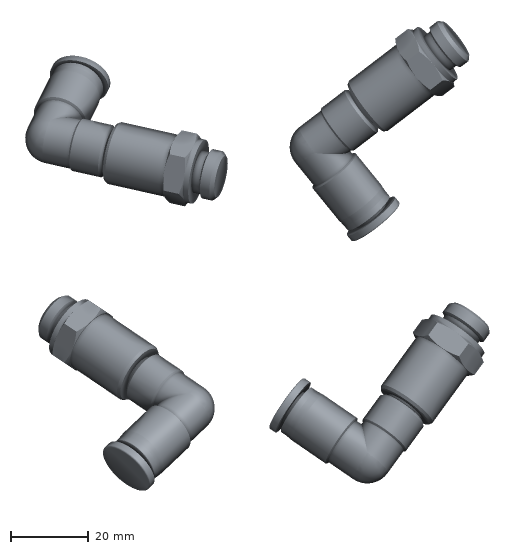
import cadquery as cq
import math


plate_length = 16.0
plate_width = 13.8
plate_thickness = 2.1
plate_rounding = 0.4
sleeve_neck_diameter = 9.7
sleeve_neck_length = 1.0

hex_across_flats = 17.0
hex_across_corners = hex_across_flats / math.cos(math.pi / 6)
hex_start = 33.6
hex_end = 39.2
hex_left_chamfer = 0.75
hex_right_chamfer = 0.7

total_x = 54.75
total_y = 35.55
stud_end = total_x - plate_length / 2
sleeve_end = total_y - hex_across_corners / 2

ring_diameter = 14.0
ring_length = 1.75
ring_chamfer = 0.1
plate_start = sleeve_end - plate_thickness
ring_end = plate_start - sleeve_neck_length
ring_start = ring_end - ring_length

arm_diameter = 13.0
socket_diameter = 14.4
socket_start = 7.85
socket_lead_in = 0.4
socket_taper_start = 18.95
swivel_collar_diameter = 13.9
swivel_collar_start = 7.15
swivel_collar_lead_in = 0.5
swivel_collar_end = 16.2
swivel_collar_chamfer = 0.75

swivel_neck_diameter = 8.2
swivel_disc_diameter = 10.6
swivel_disc_start = 16.5
barrel_diameter = 16.5
barrel_start = 17.0
barrel_chamfer_length = 0.75
barrel_chamfer_depth = 0.5
flange_diameter = hex_across_flats
flange_end = 40.6
groove_diameter = 11.2
groove_end = 42.65
groove_flank_length = 0.55
thread_diameter = 13.15
thread_chamfer = 1.0


def revolve_along_x(stations):
    """Solid of revolution about X through the given (x, radius) stations."""
    points = [(stations[0][0], 0), *stations, (stations[-1][0], 0)]
    return cq.Workplane("XY").polyline(points).close().revolve(360, (0, 0), (1, 0))


def revolve_along_y(stations):
    """Solid of revolution about Y through the given (y, radius) stations."""
    points = [(0, stations[0][0]), *[(r, y) for y, r in stations], (0, stations[-1][0])]
    return cq.Workplane("XY").polyline(points).close().revolve(360, (0, 0), (0, 1))


def make_elbow_housing():
    """Two round arms joined by a spherical corner."""
    arm_radius = arm_diameter / 2
    collar_radius = swivel_collar_diameter / 2
    socket_radius = socket_diameter / 2
    swivel_arm = revolve_along_x([
        (0, arm_radius),
        (swivel_collar_start, arm_radius),
        (swivel_collar_start + swivel_collar_lead_in, collar_radius),
        (swivel_collar_end - swivel_collar_chamfer, collar_radius),
        (swivel_collar_end, collar_radius - swivel_collar_chamfer),
    ])
    socket_arm = revolve_along_y([
        (0, arm_radius),
        (socket_start, arm_radius),
        (socket_start + socket_lead_in, socket_radius),
        (socket_taper_start, socket_radius),
        (ring_start, ring_diameter / 2),
    ])
    corner = cq.Workplane("XY").sphere(arm_radius)
    return swivel_arm.union(socket_arm).union(corner)


def make_guide_ring():
    """Disc closing the socket, with a small outer chamfer."""
    radius = ring_diameter / 2
    return revolve_along_y([
        (ring_start, radius),
        (ring_end - ring_chamfer, radius),
        (ring_end, radius - ring_chamfer),
    ])


def make_release_sleeve():
    """Round neck carrying an elliptical press plate with a rounded outer rim."""
    neck_radius = sleeve_neck_diameter / 2
    neck = revolve_along_y([(ring_end, neck_radius), (plate_start, neck_radius)])
    plate = (
        cq.Workplane("XZ", origin=(0, plate_start, 0))
        .ellipse(plate_length / 2, plate_width / 2)
        .extrude(-plate_thickness)
        .faces(">Y").edges().fillet(plate_rounding)
    )
    return neck.union(plate)


def make_hexagon():
    """Hexagon with flats facing up and down, its corners turned off conically."""
    flat_radius = hex_across_flats / 2
    corner_radius = hex_across_corners / 2
    prism = (
        cq.Workplane("YZ", origin=(hex_start, 0, 0))
        .polygon(6, hex_across_corners)
        .extrude(hex_end - hex_start)
    )
    turned_envelope = revolve_along_x([
        (hex_start, flat_radius),
        (hex_start + hex_left_chamfer, corner_radius),
        (hex_end - hex_right_chamfer, corner_radius),
        (hex_end, flat_radius),
    ])
    return prism.intersect(turned_envelope)


def make_stud():
    """Turned barrel with swivel neck, hexagon, sealing flange and thread end."""
    neck_radius = swivel_neck_diameter / 2
    disc_radius = swivel_disc_diameter / 2
    barrel_radius = barrel_diameter / 2
    flange_radius = flange_diameter / 2
    groove_radius = groove_diameter / 2
    thread_radius = thread_diameter / 2
    turned_body = revolve_along_x([
        (swivel_collar_end, neck_radius),
        (swivel_disc_start, neck_radius),
        (swivel_disc_start, disc_radius),
        (barrel_start, disc_radius),
        (barrel_start, barrel_radius - barrel_chamfer_depth),
        (barrel_start + barrel_chamfer_length, barrel_radius),
        (hex_end, barrel_radius),
        (hex_end, flange_radius),
        (flange_end, flange_radius),
        (flange_end, groove_radius),
        (groove_end, groove_radius),
        (groove_end + groove_flank_length, thread_radius),
        (stud_end - thread_chamfer, thread_radius),
        (stud_end, thread_radius - thread_chamfer),
    ])
    return turned_body.union(make_hexagon())


elbow_housing = make_elbow_housing()
guide_ring = make_guide_ring()
release_sleeve = make_release_sleeve()
stud = make_stud()

result = cq.Compound.makeCompound([
    elbow_housing.val(),
    guide_ring.val(),
    release_sleeve.val(),
    stud.val(),
])